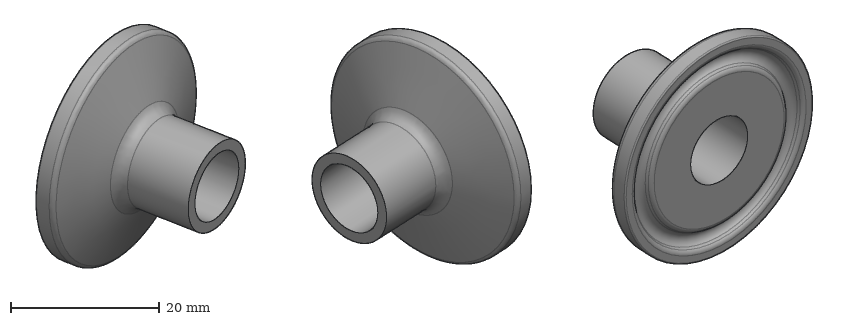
import cadquery as cq
import math

flange_radius = 17.0
length = 18.0
tube_radius = 6.73
bore_diameter = 10.3
bore_radius = bore_diameter / 2

rim_width = 2.85
back_angle = math.radians(20)
rim_back_round = 0.8
neck_round = 2.0
face_edge_round = 0.2

groove_inner_radius = 11.73
groove_outer_radius = 15.7
groove_mid_radius = (groove_inner_radius + groove_outer_radius) / 2
groove_half_width = (groove_outer_radius - groove_inner_radius) / 2
groove_wall_angle = math.radians(60)
lip_round = 0.8
bottom_round = 1.22


def make_body():
    """Revolve the flange and tube, then round the outside edges."""
    neck_x = rim_width + (flange_radius - tube_radius) * math.tan(back_angle)
    body = (
        cq.Workplane("XY")
        .moveTo(0, bore_radius)
        .lineTo(0, flange_radius)
        .lineTo(rim_width, flange_radius)
        .lineTo(neck_x, tube_radius)
        .lineTo(length, tube_radius)
        .lineTo(length, bore_radius)
        .close()
        .revolve(360, (0, 0, 0), (1, 0, 0))
    )
    edge_rounds = (
        (0, flange_radius, face_edge_round),
        (rim_width, flange_radius, rim_back_round),
        (neck_x, tube_radius, neck_round),
    )
    match_tolerance = 0.005
    for x, radius, edge_round in edge_rounds:
        matches = [
            edge
            for edge in body.edges("%CIRCLE").vals()
            if abs(edge.Center().x - x) < match_tolerance
            and abs(edge.radius() - radius) < match_tolerance
        ]
        body = body.newObject(matches).fillet(edge_round)
    return body


def make_groove():
    """Ring with the gasket groove's section, tangent all the way across."""

    def arc_point(radius, angle):
        """Width and rise of an arc that turns by angle from its level end."""
        return radius * math.sin(angle), radius * (1 - math.cos(angle))

    lip_half = arc_point(lip_round, groove_wall_angle / 2)
    lip_end = arc_point(lip_round, groove_wall_angle)
    bottom_half_width, bottom_rise = arc_point(bottom_round, groove_wall_angle)

    wall_top = groove_half_width - lip_end[0]
    wall_depth = (wall_top - bottom_half_width) * math.tan(groove_wall_angle)
    wall_end_x = lip_end[1] + wall_depth
    bottom_x = wall_end_x + bottom_rise
    mid = groove_mid_radius

    return (
        cq.Workplane("XY")
        .moveTo(0, groove_outer_radius)
        .threePointArc((lip_half[1], groove_outer_radius - lip_half[0]), (lip_end[1], mid + wall_top))
        .lineTo(wall_end_x, mid + bottom_half_width)
        .threePointArc((bottom_x, mid), (wall_end_x, mid - bottom_half_width))
        .lineTo(lip_end[1], mid - wall_top)
        .threePointArc((lip_half[1], groove_inner_radius + lip_half[0]), (0, groove_inner_radius))
        .close()
        .revolve(360, (0, 0, 0), (1, 0, 0))
    )


result = make_body().cut(make_groove())